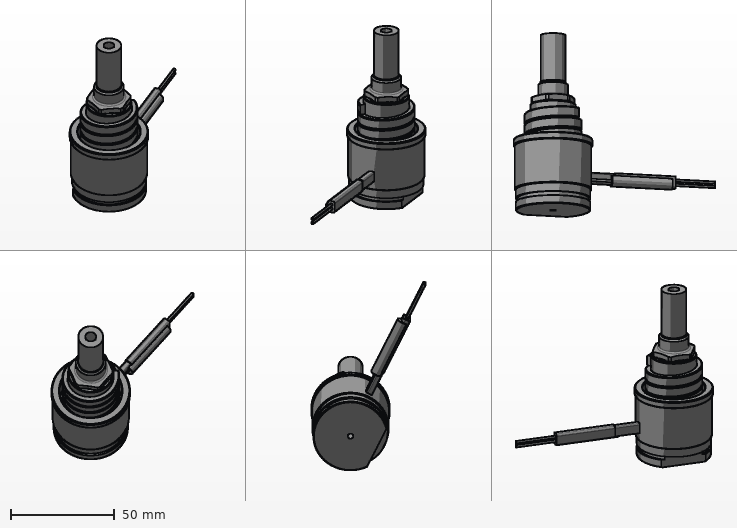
import cadquery as cq
import math

BASE_RADIUS = 18.0
BASE_TOP = 4.0
BASE_CHAMFER = 0.4
NECK_RADIUS = 17.0
NECK_TOP = 6.0
BASE_FLAT_OFFSET = 14.0
BODY_BOTTOM = 10.0
BODY_RADIUS = 18.5
FLANGE_BOTTOM = 31.5
FLANGE_RADIUS = 19.0
FLANGE_TOP = 35.0
EDGE_CHAMFER = 0.5
RECESS_RADIUS = 15.0
RECESS_DEPTH = 10.0
RECESS_CHAMFER = 0.4
RECESS_FLOOR = FLANGE_TOP - RECESS_DEPTH

CORE_RADIUS = 11.0
CORE_TOP = 52.0
CORE_CHAMFER = 0.4
NUT_BOTTOM = 52.5
NUT_TOP = 55.8
NUT_ACROSS_FLATS = 19.0
NUT_CORNER_RADIUS = 10.6
NUT_CORNER_TOP = 55.0
UNDERCUT_RADIUS = 9.0
COLLAR_RADIUS = 7.2
COLLAR_FILLET = 0.8
COLLAR_FOOT_RADIUS = COLLAR_RADIUS + COLLAR_FILLET
COLLAR_SHOULDER = 61.6
LIP_RADIUS = 6.2
LIP_BOTTOM = 62.4
SHAFT_RADIUS = 6.0
SHAFT_BOTTOM = 63.0
SHAFT_TOP = 86.0

BORE_RADIUS = 1.3
MOUTH_RADIUS = 2.6
MOUTH_DEPTH = 20.0

COIL_RADIUS = 13.8
COIL_BEVEL = 0.5
COIL_PITCH = 5.3
COIL_GAP = 0.2
COIL_CLEARANCE = 0.2
COIL_TOP = 49.5
COIL_END_ANGLE = 51.0
COIL_TURNS = 5
TAIL_WIDTH = 1.6
TAIL_TOP = 34.0

CABLE_X = -1.3
CABLE_Z = 17.0
CABLE_WIDTH = 3.0
CABLE_HEIGHT = 5.3
CABLE_FILLET = 0.6
SLEEVE_WIDTH = 3.6
SLEEVE_HEIGHT = 6.0
SLEEVE_FILLET = 0.9
SLEEVE_START = 31.0
SLEEVE_LENGTH = 30.0
WIRE_RADIUS = 0.65
WIRE_SPACING = 2.1
WIRE_END = 81.0
TUBE_RADIUS = 2.7
TUBE_Z = 15.9
TUBE_START = 29.0
TUBE_LENGTH = 30.0
CABLE_ROOT = 17.0


def revolve_profile(points):
    """Revolve (radius, z) points around the Z axis."""
    return cq.Workplane("XZ").polyline(points).close().revolve(360, (0, 0), (0, 1))


def make_housing():
    housing = revolve_profile([
        (0, 0),
        (BASE_RADIUS - BASE_CHAMFER, 0),
        (BASE_RADIUS, BASE_CHAMFER),
        (BASE_RADIUS, BASE_TOP),
        (NECK_RADIUS, BASE_TOP),
        (NECK_RADIUS, NECK_TOP),
        (BASE_RADIUS, NECK_TOP),
        (BASE_RADIUS, BODY_BOTTOM),
        (BODY_RADIUS, BODY_BOTTOM + EDGE_CHAMFER),
        (BODY_RADIUS, FLANGE_BOTTOM),
        (FLANGE_RADIUS, FLANGE_BOTTOM + EDGE_CHAMFER),
        (FLANGE_RADIUS, FLANGE_TOP - EDGE_CHAMFER),
        (FLANGE_RADIUS - EDGE_CHAMFER, FLANGE_TOP),
        (RECESS_RADIUS + RECESS_CHAMFER, FLANGE_TOP),
        (RECESS_RADIUS, FLANGE_TOP - RECESS_CHAMFER),
        (RECESS_RADIUS, RECESS_FLOOR),
        (0, RECESS_FLOOR),
    ])
    flat_cutter = cq.Workplane("XY").box(
        BASE_RADIUS, 2 * FLANGE_RADIUS, NECK_TOP, centered=(False, True, False)
    ).translate((-BASE_FLAT_OFFSET - BASE_RADIUS, 0, 0))
    return housing.cut(flat_cutter)


def make_spindle():
    """Core, undercut and nut hub, then the collar with a concave foot, the lip and the shaft."""
    fillet_inset = COLLAR_FILLET * (1 - math.sqrt(0.5))
    return (
        cq.Workplane("XZ")
        .moveTo(0, RECESS_FLOOR)
        .lineTo(CORE_RADIUS, RECESS_FLOOR)
        .lineTo(CORE_RADIUS, CORE_TOP - CORE_CHAMFER)
        .lineTo(CORE_RADIUS - CORE_CHAMFER, CORE_TOP)
        .lineTo(UNDERCUT_RADIUS, CORE_TOP)
        .lineTo(UNDERCUT_RADIUS, NUT_BOTTOM)
        .lineTo(COLLAR_FOOT_RADIUS, NUT_TOP)
        .threePointArc(
            (COLLAR_RADIUS + fillet_inset, NUT_TOP + fillet_inset),
            (COLLAR_RADIUS, NUT_TOP + COLLAR_FILLET),
        )
        .lineTo(COLLAR_RADIUS, COLLAR_SHOULDER)
        .lineTo(LIP_RADIUS, LIP_BOTTOM)
        .lineTo(LIP_RADIUS, SHAFT_BOTTOM)
        .lineTo(SHAFT_RADIUS, SHAFT_BOTTOM)
        .lineTo(SHAFT_RADIUS, SHAFT_TOP)
        .lineTo(0, SHAFT_TOP)
        .close()
        .revolve(360, (0, 0), (0, 1))
    )


def make_nut():
    """Hexagon with corners on the Y axis, corners turned down and a coned top."""
    corner_diameter = NUT_ACROSS_FLATS / math.cos(math.radians(30))
    hexagon = (
        cq.Workplane("XY", origin=(0, 0, NUT_BOTTOM))
        .transformed(rotate=(0, 0, 30))
        .polygon(6, corner_diameter)
        .extrude(NUT_TOP - NUT_BOTTOM)
    )
    envelope = revolve_profile([
        (0, NUT_BOTTOM),
        (NUT_CORNER_RADIUS, NUT_BOTTOM),
        (NUT_CORNER_RADIUS, NUT_CORNER_TOP),
        (COLLAR_FOOT_RADIUS, NUT_TOP),
        (0, NUT_TOP),
    ])
    return hexagon.intersect(envelope)


def make_coil():
    """Right-handed coil whose upper end stops at COIL_END_ANGLE; its lower turns sink into the body."""
    inner = CORE_RADIUS + COIL_CLEARANCE
    half_height = (COIL_PITCH - COIL_GAP) / 2
    climb = COIL_TURNS * COIL_PITCH
    section = cq.Workplane("XZ").polyline([
        (inner, -half_height),
        (COIL_RADIUS - COIL_BEVEL, -half_height),
        (COIL_RADIUS, COIL_BEVEL - half_height),
        (COIL_RADIUS, half_height - COIL_BEVEL),
        (COIL_RADIUS - COIL_BEVEL, half_height),
        (inner, half_height),
    ]).close()
    path = cq.Wire.makeHelix(COIL_PITCH, climb, COIL_RADIUS)
    coil = section.sweep(cq.Workplane(path), isFrenet=True)
    lift = COIL_TOP - half_height - climb
    return coil.rotate((0, 0, 0), (0, 0, 1), COIL_END_ANGLE).translate((0, 0, lift))


def make_coil_tail():
    """Radial tail of the coil, lying in the recess on the +Y side."""
    tail_start = COIL_RADIUS - 2 * COIL_BEVEL
    tail_end = RECESS_RADIUS + RECESS_CHAMFER
    return (
        cq.Workplane("XY", origin=(0, tail_start, RECESS_FLOOR))
        .box(TAIL_WIDTH, tail_end - tail_start, TAIL_TOP - RECESS_FLOOR, centered=(True, False, False))
        .edges("|Y and >Z")
        .chamfer(COIL_BEVEL)
    )


def make_bore():
    return revolve_profile([
        (0, 0),
        (BORE_RADIUS, 0),
        (BORE_RADIUS, SHAFT_TOP - MOUTH_DEPTH),
        (MOUTH_RADIUS, SHAFT_TOP),
        (0, SHAFT_TOP),
    ])


def rounded_bar(width, height, fillet, start, end):
    """Bar along Y on the cable centreline with its long edges rounded."""
    return (
        cq.Workplane("XY", origin=(CABLE_X, start, CABLE_Z))
        .box(width, end - start, height, centered=(True, False, True))
        .edges("|Y")
        .fillet(fillet)
    )


def rod(x, z, radius, start, end):
    """Round rod along Y."""
    return cq.Workplane("XZ", origin=(x, start, z)).circle(radius).extrude(start - end)


def make_cable():
    sleeve_end = SLEEVE_START + SLEEVE_LENGTH
    cable = rounded_bar(CABLE_WIDTH, CABLE_HEIGHT, CABLE_FILLET, CABLE_ROOT, SLEEVE_START)
    cable = cable.union(rounded_bar(SLEEVE_WIDTH, SLEEVE_HEIGHT, SLEEVE_FILLET, SLEEVE_START, sleeve_end))
    for side in (-1, 1):
        wire_z = CABLE_Z + side * WIRE_SPACING / 2
        cable = cable.union(rod(CABLE_X, wire_z, WIRE_RADIUS, sleeve_end, WIRE_END))
    cable = cable.union(rod(0, TUBE_Z, TUBE_RADIUS, TUBE_START, TUBE_START + TUBE_LENGTH))
    return cable.union(rod(0, TUBE_Z, WIRE_RADIUS, CABLE_ROOT, TUBE_START))


result = (
    make_housing()
    .union(make_spindle())
    .union(make_nut())
    .union(make_coil())
    .union(make_coil_tail())
    .union(make_cable())
    .cut(make_bore())
)